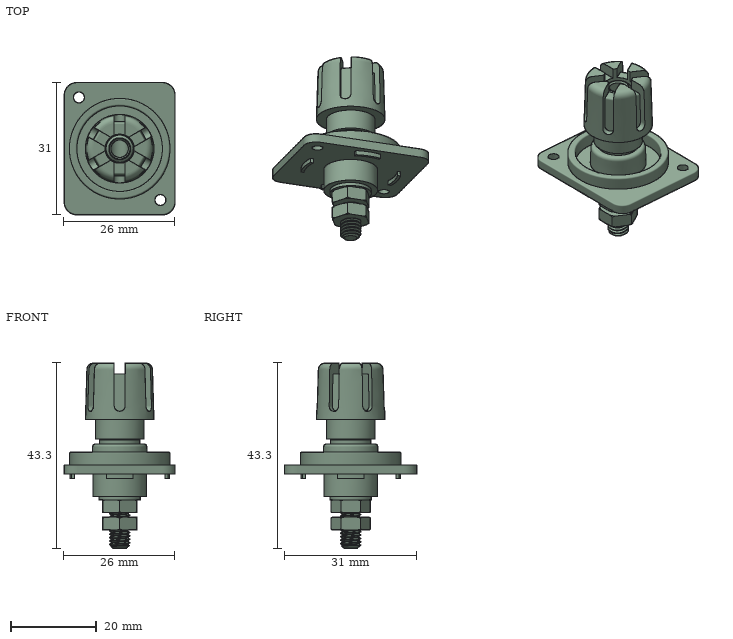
import cadquery as cq
import math

lower_nut_bottom = 4.3
upper_nut_bottom = 8.3
nut_height = 3.0
washer_top = 12.1
plate_bottom = 17.32
plate_top = 19.55
ring_top = 22.48
boss_top = 24.43
neck_step = 25.3
collar_bottom = 25.55
cap_bottom = 30.1
slot_floor = 40.8
cap_top = 43.3
washer_bottom = upper_nut_bottom + nut_height

plate_width = 26.0
plate_length = 31.0
corner_radius = 3.05
plate_edge_fillet = 0.25
hole_diameter = 2.5
hole_x = 9.53
hole_y = 12.0

ring_diameter = 23.55
recess_diameter = 20.0
recess_depth = 3.08
ring_edge_fillet = 0.35
recess_floor = ring_top - recess_depth

lug_outer_radius = 11.7
lug_inner_radius = 11.0
lug_width = 6.15
lug_height = 1.05

boss_top_diameter = 12.7
boss_base_diameter = 13.1
boss_fillet = 0.8
body_diameter = 12.6
washer_diameter = 9.7
neck_diameter = 9.5
neck_step_diameter = 9.53
collar_diameter = 11.4

cap_bottom_diameter = 16.05
cap_top_diameter = 15.3
cap_fillet = 1.55
slot_count = 6
first_slot_angle = 90
slot_width = 2.55
slot_bottom = 32.05
slot_top_radius = 5.67
slot_floor_round = 0.45
slot_bottom_radius = 6.4

cap_bore_diameter = 6.8
cap_bore_depth = 3.9
post_diameter = 6.35
post_top = 40.6
post_flat_diameter = 5.1
countersink_diameter = 4.8
bore_diameter = 4.05
bore_depth = 6.95

nut_across_flats = 8.0
nut_chamfer_diameter = 8.58
nut_chamfer_angle = 30

thread_diameter = 4.8
thread_root_diameter = 3.85
thread_pitch = 0.8
thread_crest_height = 1.3
thread_overlap = 0.1
thread_crest_flat = 0.05
thread_turns = 13
turns_below_crest = 3
thread_fill = 0.95
envelope_diameter = thread_diameter + 0.1
tip_diameter = 3.08
tip_chamfer_height = 0.8


def cylinder(diameter, bottom, top):
    return cq.Workplane("XY").workplane(offset=bottom).circle(diameter / 2).extrude(top - bottom)


def cone(bottom_diameter, top_diameter, bottom, top):
    height = top - bottom
    base = cq.Vector(0, 0, bottom)
    return cq.Workplane(cq.Solid.makeCone(bottom_diameter / 2, top_diameter / 2, height, base))


def make_plate():
    plate = (
        cq.Workplane("XY")
        .workplane(offset=plate_bottom)
        .rect(plate_width, plate_length)
        .extrude(plate_top - plate_bottom)
        .edges("|Z")
        .fillet(corner_radius)
        .faces(">Z")
        .edges()
        .fillet(plate_edge_fillet)
    )
    ring = cylinder(ring_diameter, plate_top, ring_top)
    ring = ring.cut(cylinder(recess_diameter, plate_top, ring_top))
    ring = ring.faces(">Z").edges().fillet(ring_edge_fillet)
    recess = cylinder(recess_diameter, recess_floor, plate_top)
    holes = (
        cq.Workplane("XY")
        .workplane(offset=plate_bottom)
        .pushPoints([(-hole_x, hole_y), (hole_x, -hole_y)])
        .circle(hole_diameter / 2)
        .extrude(plate_top - plate_bottom)
    )
    return plate.union(ring).cut(recess).cut(holes)


def make_lugs():
    """Four arc-shaped lugs, one facing each side of the plate."""
    bottom = plate_bottom - lug_height
    annulus = cylinder(2 * lug_outer_radius, bottom, plate_bottom)
    annulus = annulus.cut(cylinder(2 * lug_inner_radius, bottom, plate_bottom))
    bar_length = 3 * lug_outer_radius
    bar_x = (
        cq.Workplane("XY")
        .workplane(offset=bottom)
        .rect(bar_length, lug_width)
        .extrude(lug_height)
    )
    bar_y = bar_x.rotate((0, 0, 0), (0, 0, 1), 90)
    return annulus.intersect(bar_x.union(bar_y))


def make_body():
    boss = cone(boss_base_diameter, boss_top_diameter, recess_floor, boss_top)
    boss = boss.faces(">Z").edges().fillet(boss_fillet)
    body = cylinder(body_diameter, washer_top, plate_bottom)
    body = body.union(cylinder(washer_diameter, washer_bottom, washer_top))
    body = body.union(boss)
    body = body.union(cylinder(neck_diameter, boss_top, neck_step))
    body = body.union(cylinder(neck_step_diameter, neck_step, collar_bottom))
    return body.union(cylinder(collar_diameter, collar_bottom, cap_bottom))


def make_slot():
    """Cutter for the slot facing +X: a flat floor rounding into a drafted wall that ends in a half circle."""
    reach = cap_bottom_diameter
    side = (
        cq.Workplane("XZ")
        .moveTo(0, cap_top)
        .lineTo(0, slot_floor)
        .lineTo(slot_top_radius, slot_floor)
        .tangentArcPoint((slot_floor_round, -slot_floor_round))
        .lineTo(slot_bottom_radius, slot_bottom)
        .lineTo(reach, slot_bottom)
        .lineTo(reach, cap_top)
        .close()
        .extrude(slot_width / 2, both=True)
    )
    half = slot_width / 2
    rounded = (
        cq.Workplane("YZ")
        .moveTo(-half, cap_top)
        .lineTo(-half, slot_bottom + half)
        .threePointArc((0, slot_bottom), (half, slot_bottom + half))
        .lineTo(half, cap_top)
        .close()
        .extrude(reach)
    )
    return side.intersect(rounded)


def make_cap():
    cap = cone(cap_bottom_diameter, cap_top_diameter, cap_bottom, cap_top)
    cap = cap.faces(">Z").edges().fillet(cap_fillet)
    cap = cap.cut(cylinder(cap_bore_diameter, cap_top - cap_bore_depth, cap_top))
    slot = make_slot()
    for i in range(slot_count):
        cap = cap.cut(slot.rotate((0, 0, 0), (0, 0, 1), first_slot_angle + i * 360 / slot_count))
    return cap


def make_post():
    bevel = (post_diameter - post_flat_diameter) / 2
    post_bottom = cap_top - cap_bore_depth
    post = cylinder(post_diameter, post_bottom, post_top)
    return post.faces(">Z").edges().chamfer(bevel)


def make_post_bore():
    """Countersunk bore whose floor is a trough running along Y."""
    sink = (countersink_diameter - bore_diameter) / 2
    floor = post_top - bore_depth
    bore = cylinder(bore_diameter, floor, post_top)
    trough_axis = floor + bore_diameter / 2
    trough = (
        cq.Workplane("XZ")
        .center(0, trough_axis)
        .circle(bore_diameter / 2)
        .extrude(bore_diameter, both=True)
    )
    tip = cylinder(bore_diameter, floor, trough_axis).intersect(trough)
    bore = cylinder(bore_diameter, trough_axis, post_top).union(tip)
    return bore.union(cone(bore_diameter, countersink_diameter, post_top - sink, post_top))


def make_nut(bottom):
    """Hexagon with flats facing X and both ends chamfered by a cone."""
    top = bottom + nut_height
    across_corners = nut_across_flats / math.cos(math.radians(30))
    hexagon = (
        cq.Workplane("XY")
        .workplane(offset=bottom)
        .polygon(6, across_corners)
        .extrude(nut_height)
        .rotate((0, 0, 0), (0, 0, 1), 90)
    )
    overhang = (across_corners - nut_chamfer_diameter) / 2
    drop = overhang * math.tan(math.radians(nut_chamfer_angle))
    envelope = cylinder(across_corners, bottom, top).faces("<Z or >Z").edges().chamfer(drop, overhang)
    return hexagon.intersect(envelope)


def make_stud():
    """Core with a right-handed ridge, cut to a bevelled tip."""
    stud_top = washer_bottom
    crest = thread_diameter / 2
    root = thread_root_diameter / 2 - thread_overlap
    half_base = thread_fill * thread_pitch / 2
    half_crest = thread_crest_flat / 2
    start = thread_crest_height - turns_below_crest * thread_pitch
    length = thread_turns * thread_pitch
    path = cq.Workplane(cq.Wire.makeHelix(thread_pitch, length, crest, cq.Vector(0, 0, start)))
    ridge = (
        cq.Workplane("XZ")
        .polyline([
            (root, start - half_base),
            (crest, start - half_crest),
            (crest, start + half_crest),
            (root, start + half_base),
        ])
        .close()
        .sweep(path, isFrenet=True)
    )
    envelope = cone(tip_diameter, envelope_diameter, 0, tip_chamfer_height)
    envelope = envelope.union(cylinder(envelope_diameter, tip_chamfer_height, stud_top))
    core = cylinder(thread_root_diameter, start, stud_top)
    return core.union(ridge).intersect(envelope)


result = make_plate().union(make_lugs()).union(make_body()).union(make_cap()).union(make_post())
result = result.cut(make_post_bore())
result = result.union(make_stud())
for nut_bottom in (lower_nut_bottom, upper_nut_bottom):
    result = result.union(make_nut(nut_bottom))